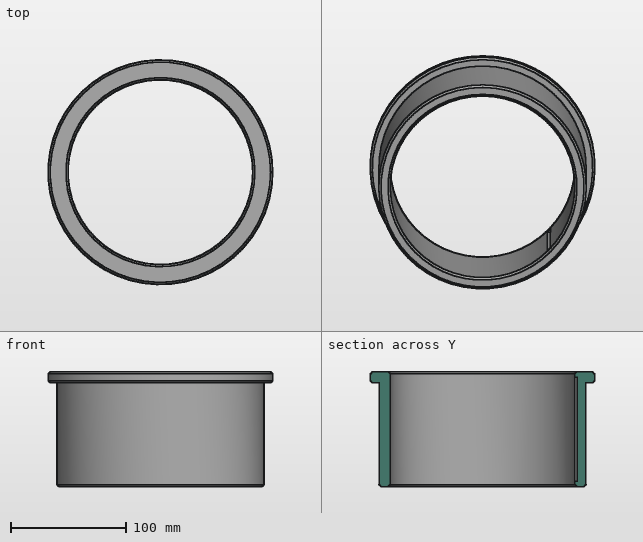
import cadquery as cq

flange_diameter = 195.0
body_diameter = 180.0
bore_diameter = 160.0
total_height = 100.0
flange_height = 10.0
chamfer = 2.0
groove_width = 4.0
groove_end_margin = flange_height / 2

body = cq.Workplane("XY").circle(body_diameter / 2).extrude(total_height)
body = body.faces("<Z").chamfer(chamfer)

flange = (
    cq.Workplane("XY")
    .workplane(offset=total_height - flange_height)
    .circle(flange_diameter / 2)
    .extrude(flange_height)
    .faces("<Z or >Z")
    .chamfer(chamfer)
)

bore = cq.Workplane("XY").circle(bore_diameter / 2).extrude(total_height)
result = body.union(flange).cut(bore)
rim_edges = cq.selectors.RadiusNthSelector(0)
result = result.faces("<Z or >Z").edges(rim_edges).chamfer(chamfer)

groove = (
    cq.Workplane("XY")
    .workplane(offset=groove_end_margin)
    .center(bore_diameter / 2, 0)
    .circle(groove_width / 2)
    .extrude(total_height - 2 * groove_end_margin)
)
result = result.cut(groove)